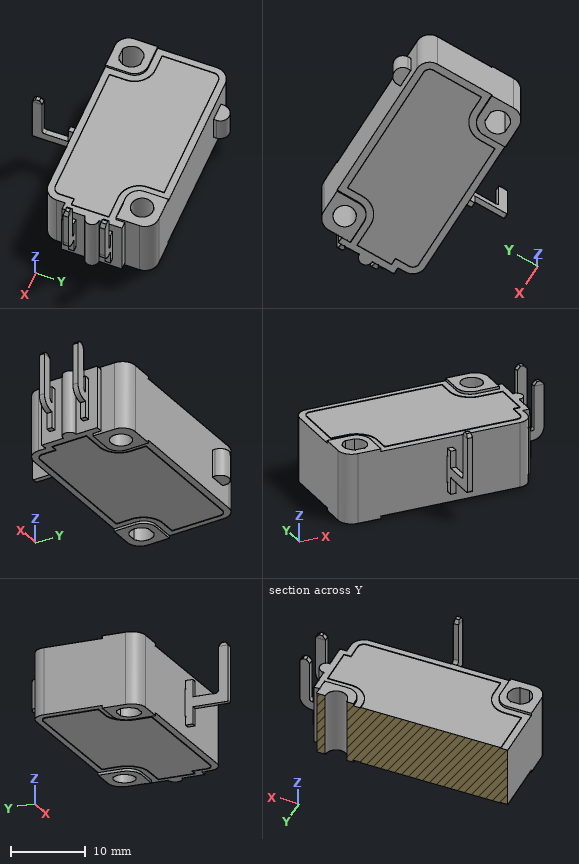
import cadquery as cq


CASE_LENGTH = 27.9
CASE_WIDTH = 15.9
CASE_HEIGHT = 10.35
CORNER_RADIUS = 2.0
PAD_HEIGHT = 0.38
PAD_SIZE = 5.4
PAD_RADIUS = 2.0
BASE_BOTTOM = PAD_HEIGHT
BASE_TOP = CASE_HEIGHT - PAD_HEIGHT
BASE_HEIGHT = BASE_TOP - BASE_BOTTOM
PARTING_Z = 7.3

LABEL_INSET = 1.0
LABEL_HEIGHT = 0.1
LABEL_TONGUE_START = 4.1

HOLE_DIAMETER = 3.1
HOLE_EDGE_X = 2.85
HOLE_EDGE_Y = 2.75
SLOT_LENGTH = 3.38

BLOCK_DEPTH = 1.0
BLOCK_Y_MIN = 3.2
BLOCK_Y_MAX = 11.8
BLOCK_LEDGE = 0.1
BLOCK_END = CASE_LENGTH + BLOCK_DEPTH
RIB_RADIUS = 1.0
RIB_Y = (BLOCK_Y_MIN + BLOCK_Y_MAX) / 2

TOTAL_WIDTH_Y = 23.95
PLUNGER_X = 4.9
PLUNGER_RADIUS = 1.33
PLUNGER_RISE = 1.77
PLUNGER_Z_MIN = 3.05
PLUNGER_Z_MAX = 7.25

TERMINAL_THICKNESS = 0.8
PIN_TOP = 13.15
PIN_TIP_HEIGHT = 0.55
TIP_THICKNESS = 0.6
PLATE_Z_MIN = 2.1
PLATE_Z_MAX = 8.47
ARM_Z_MIN = 4.55

COM_X = 15.55
COM_PLATE_OUTER = 1.15
COM_PLATE_GAP = 0.1
COM_STEM_Z_MIN = 3.38
COM_ARM_HEIGHT = 1.42
COM_PIN_WIDTH = 1.42
COM_TIP_WIDTH = 0.6
COM_INNER_RADIUS = 0.45
COM_OUTER_RADIUS = 0.2

END_TERMINAL_X_MAX = 31.6
END_PLATE_OUTER = 29.65
END_PIN_WIDTH = 1.5
END_TIP_WIDTH = 0.5
END_INNER_RADIUS = 0.35
NO_Y = 4.77
NC_Y = 10.02


def block(x_range, y_range, z_range):
    """Box from its limits along each axis."""
    sizes = [high - low for low, high in (x_range, y_range, z_range)]
    corner = (x_range[0], y_range[0], z_range[0])
    return cq.Workplane("XY").box(*sizes, centered=False).translate(corner)


def corner_blocks(margin, z_min, height):
    """Blocks over the two hole corners, each with a rounded inner corner."""
    size = PAD_SIZE + margin
    near = block((0, size), (0, size), (z_min, z_min + height))
    near = near.edges("|Z and >X and >Y").fillet(PAD_RADIUS + margin)
    far = near.rotate((0, 0, 0), (0, 0, 1), 180).translate((CASE_LENGTH, CASE_WIDTH, 0))
    return near.union(far)


def case_prism(z_min, height):
    """Rounded case outline extruded upward."""
    prism = block((0, CASE_LENGTH), (0, CASE_WIDTH), (z_min, z_min + height))
    return prism.edges("|Z").fillet(CORNER_RADIUS)


def label_panel(z_min, height):
    """Inset panel that skirts the pads and reaches the terminal end."""
    z_range = (z_min, z_min + height)
    inner_end = CASE_LENGTH - LABEL_INSET
    y_range = (LABEL_INSET, CASE_WIDTH - LABEL_INSET)
    panel = block((LABEL_INSET, inner_end), y_range, z_range)
    panel = panel.edges("|Z").fillet(CORNER_RADIUS - LABEL_INSET)
    tongue_y = (LABEL_TONGUE_START, CASE_WIDTH - PAD_SIZE)
    tongue = block((inner_end - LABEL_INSET, CASE_LENGTH), tongue_y, z_range)
    return panel.union(tongue).cut(corner_blocks(LABEL_INSET, z_min, height))


def make_case():
    """Case body with raised hole corners and a label panel on both broad faces."""
    pads = case_prism(0, CASE_HEIGHT).intersect(corner_blocks(0, 0, CASE_HEIGHT))
    panel = label_panel(BASE_BOTTOM - LABEL_HEIGHT, BASE_HEIGHT + 2 * LABEL_HEIGHT)
    return case_prism(BASE_BOTTOM, BASE_HEIGHT).union(pads).union(panel)


def make_end_block():
    """Block carrying the end terminals, ledged at the parting plane, with its rib."""
    x_range = (CASE_LENGTH - LABEL_INSET, BLOCK_END)
    main = block(x_range, (BLOCK_Y_MIN, BLOCK_Y_MAX), (BASE_BOTTOM, BASE_TOP))
    ledge = block(x_range, (BLOCK_Y_MIN - BLOCK_LEDGE, BLOCK_Y_MAX), (BASE_BOTTOM, PARTING_Z))
    rib_plane = cq.Workplane("XY", origin=(BLOCK_END, RIB_Y, BASE_BOTTOM))
    rib = rib_plane.circle(RIB_RADIUS).extrude(BASE_HEIGHT)
    return main.union(ledge).union(rib)


def make_holes():
    """Round hole in one corner, and a wider hole with two flats in the other."""
    hole_x = CASE_LENGTH - HOLE_EDGE_X
    hole_y = CASE_WIDTH - HOLE_EDGE_Y
    round_plane = cq.Workplane("XY", origin=(hole_x, hole_y, 0))
    round_hole = round_plane.circle(HOLE_DIAMETER / 2).extrude(CASE_HEIGHT)
    slot_plane = cq.Workplane("XY", origin=(HOLE_EDGE_X, HOLE_EDGE_Y, 0))
    flats = slot_plane.rect(SLOT_LENGTH, HOLE_DIAMETER).extrude(CASE_HEIGHT)
    wide_hole = slot_plane.circle(SLOT_LENGTH / 2).extrude(CASE_HEIGHT).intersect(flats)
    return round_hole.union(wide_hole)


def make_plunger():
    """Round-nosed plunger rising from the long side of the case."""
    nose_y = CASE_WIDTH + PLUNGER_RISE - PLUNGER_RADIUS
    return (
        cq.Workplane("XY", origin=(PLUNGER_X, 0, PLUNGER_Z_MIN))
        .moveTo(-PLUNGER_RADIUS, CASE_WIDTH - PLUNGER_RADIUS)
        .lineTo(PLUNGER_RADIUS, CASE_WIDTH - PLUNGER_RADIUS)
        .lineTo(PLUNGER_RADIUS, nose_y)
        .threePointArc((0, CASE_WIDTH + PLUNGER_RISE), (-PLUNGER_RADIUS, nose_y))
        .close()
        .extrude(PLUNGER_Z_MAX - PLUNGER_Z_MIN)
    )


def pin_tip(x, y, base_size, top_size):
    """Tapered tip on an upright pin."""
    return (
        cq.Workplane("XY", origin=(x, y, PIN_TOP - PIN_TIP_HEIGHT))
        .rect(*base_size)
        .workplane(offset=PIN_TIP_HEIGHT)
        .rect(*top_size)
        .loft(combine=True)
    )


def make_com_terminal():
    """Side terminal: plate on the case, arm outward and upright pin."""
    x_range = (COM_X - TERMINAL_THICKNESS / 2, COM_X + TERMINAL_THICKNESS / 2)
    pin_outer = CASE_WIDTH + PLUNGER_RISE - TOTAL_WIDTH_Y
    pin_inner = pin_outer + COM_PIN_WIDTH
    pin_base = PIN_TOP - PIN_TIP_HEIGHT
    arm_top = ARM_Z_MIN + COM_ARM_HEIGHT
    plate = block(x_range, (-COM_PLATE_OUTER, -COM_PLATE_GAP), (PLATE_Z_MIN, PLATE_Z_MAX))
    stem = block(x_range, (-COM_PLATE_OUTER, COM_PLATE_GAP), (COM_STEM_Z_MIN, PARTING_Z))
    hook = block(x_range, (pin_outer, -COM_PLATE_OUTER), (ARM_Z_MIN, pin_base))
    hook = hook.cut(block(x_range, (pin_inner, -COM_PLATE_OUTER), (arm_top, pin_base)))
    inner_corner = cq.selectors.NearestToPointSelector((COM_X, pin_inner, arm_top))
    hook = hook.edges("|X").edges(inner_corner).fillet(COM_INNER_RADIUS)
    hook = hook.edges("|X and <Y and <Z").fillet(COM_OUTER_RADIUS)
    base_size = (TERMINAL_THICKNESS, COM_PIN_WIDTH)
    tip = pin_tip(COM_X, (pin_outer + pin_inner) / 2, base_size, (TIP_THICKNESS, COM_TIP_WIDTH))
    return plate.union(stem).union(hook).union(tip)


def make_end_terminal(y, tip_thickness):
    """End terminal: plate on the end block and a pin bent upward."""
    y_range = (y - TERMINAL_THICKNESS / 2, y + TERMINAL_THICKNESS / 2)
    plate = block((CASE_LENGTH, END_PLATE_OUTER), y_range, (PLATE_Z_MIN, PLATE_Z_MAX))
    pin_inner = END_TERMINAL_X_MAX - END_PIN_WIDTH
    pin_base = PIN_TOP - PIN_TIP_HEIGHT
    arm_top = ARM_Z_MIN + END_PIN_WIDTH
    bend = block((CASE_LENGTH, END_TERMINAL_X_MAX), y_range, (ARM_Z_MIN, pin_base))
    bend = bend.cut(block((CASE_LENGTH, pin_inner), y_range, (arm_top, pin_base)))
    inner_corner = cq.selectors.NearestToPointSelector((pin_inner, y, arm_top))
    bend = bend.edges("|Y").edges(inner_corner).fillet(END_INNER_RADIUS)
    bend = bend.edges("|Y and >X and <Z").fillet(END_INNER_RADIUS + END_PIN_WIDTH)
    base_size = (END_PIN_WIDTH, TERMINAL_THICKNESS)
    tip = pin_tip(END_TERMINAL_X_MAX - END_PIN_WIDTH / 2, y, base_size, (END_TIP_WIDTH, tip_thickness))
    return plate.union(bend).union(tip)


result = (
    make_case()
    .union(make_end_block())
    .cut(make_holes())
    .union(make_plunger())
    .union(make_com_terminal())
    .union(make_end_terminal(NO_Y, TIP_THICKNESS))
    .union(make_end_terminal(NC_Y, TERMINAL_THICKNESS))
)